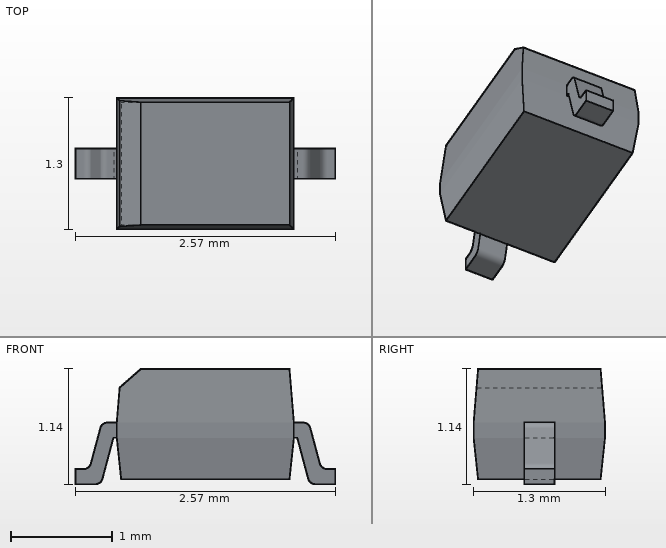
import cadquery as cq
import math

body_length = 1.753
body_width = 1.3
body_bottom = 0.05
body_top = 1.14
band_top = 0.612
band_height = 0.155
band_bottom = band_top - band_height
taper_inset = 0.044

bevel_low_z = 0.955
bevel_top_x = -0.637

overall_length = 2.57
lead_width = 0.3
lead_thickness = 0.152
leg_lean = math.radians(15)
shoulder_length = 0.03
bend_radius = 0.075


def tapered_half(band_z, end_z):
    """Frustum from the band outline at band_z to the inset outline at end_z."""
    return (
        cq.Workplane("XY", origin=(0, 0, band_z))
        .rect(body_length, body_width)
        .workplane(offset=end_z - band_z)
        .rect(body_length - 2 * taper_inset, body_width - 2 * taper_inset)
        .loft(ruled=True)
    )


def bevel_cutter():
    """Prism above the sloping plane at the -X end of the top."""
    inset = taper_inset * (bevel_low_z - band_top) / (body_top - band_top)
    low_x = -body_length / 2 + inset
    slope = (body_top - bevel_low_z) / (bevel_top_x - low_x)
    outer_x = -body_length / 2
    outer_z = bevel_low_z - slope * (low_x - outer_x)
    return (
        cq.Workplane("XZ")
        .polyline([(outer_x, outer_z), (bevel_top_x, body_top), (outer_x, body_top)])
        .close()
        .extrude(body_width / 2, both=True)
    )


def make_housing():
    band = (
        cq.Workplane("XY", origin=(0, 0, band_bottom))
        .rect(body_length, body_width)
        .extrude(band_height)
    )
    upper = tapered_half(band_top, body_top).cut(bevel_cutter())
    lower = tapered_half(band_bottom, body_bottom)
    return band.union(upper).union(lower)


def make_lead():
    """Lead at the -X end: shoulder, leaning leg and flat foot of even thickness."""
    lean = math.tan(leg_lean)
    leg_run = lead_thickness / math.cos(leg_lean)
    tip_x = -overall_length / 2
    root_x = -body_length / 2
    under_z = band_top - lead_thickness
    under_x = root_x - shoulder_length

    def inner_x(z):
        return under_x - (under_z - z) * lean

    def outer_x(z):
        return inner_x(z) - leg_run

    heel = (inner_x(0), 0)
    instep = (outer_x(lead_thickness), lead_thickness)
    knee = (outer_x(band_top), band_top)
    outline = [
        (tip_x, 0),
        heel,
        (under_x, under_z),
        (root_x, under_z),
        (root_x, band_top),
        knee,
        instep,
        (tip_x, lead_thickness),
    ]
    lead = cq.Workplane("XZ").polyline(outline).close().extrude(lead_width / 2, both=True)
    for x, z in (heel, instep, knee):
        bend_edge = cq.selectors.NearestToPointSelector((x, 0, z))
        lead = lead.edges("|Y").edges(bend_edge).fillet(bend_radius)
    return lead


housing = make_housing()
leads = [make_lead().rotate((0, 0, 0), (0, 0, 1), angle) for angle in (0, 180)]

result = cq.Compound.makeCompound([housing.val(), *[lead.val() for lead in leads]])